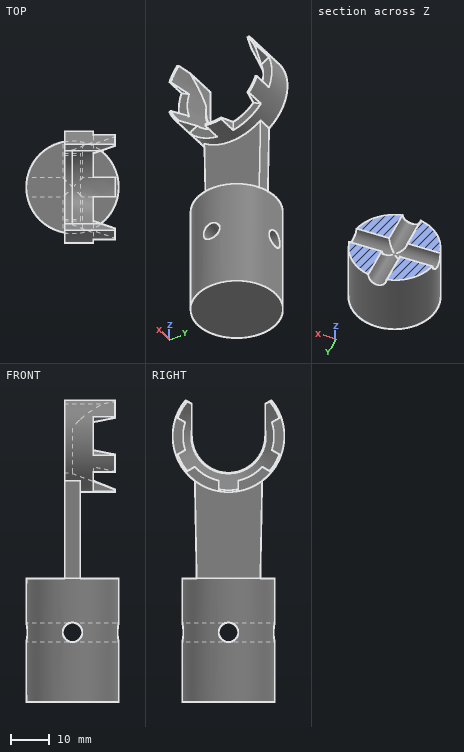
import cadquery as cq
import math

total_height = 78.1
base_diameter = 24.0
base_height = 32.0
pin_diameter = 5.0
pin_height = 18.05

neck_thickness = 4.1
neck_bottom_width = 16.55
neck_top_width = 17.5

cradle_outer_radius = 29.0 / 2
cradle_inner_radius = 9.45
cradle_back = -neck_thickness / 2
ring_front = 5.4
prong_front = 11.0
cone_back = 0.0
cone_back_radius = 9.7
cone_front_radius = 14.0

prong_width = 5.0
prong_angles = (-150, -90, -30, 30, 150)
tip_prong_angle = 30

tip_angle = math.radians(tip_prong_angle) + math.asin(prong_width / 2 / cradle_outer_radius)
cradle_axis_height = total_height - cradle_outer_radius * math.sin(tip_angle)


def cradle_cylinder(radius, start, end):
    """Cylinder on the cradle axis between two X positions."""
    plane = cq.Workplane("YZ", origin=(start, 0, cradle_axis_height))
    return plane.circle(radius).extrude(end - start)


def make_base():
    return cq.Workplane("XY").circle(base_diameter / 2).extrude(base_height)


def make_pin_holes():
    """Two crossing holes through the base, along X and along Y."""
    holes = cq.Workplane("XY")
    for side in ("XZ", "YZ"):
        hole = cq.Workplane(side, origin=(0, 0, pin_height)).circle(pin_diameter / 2)
        holes = holes.add(hole.extrude(base_diameter, both=True))
    return holes.combine()


def make_neck():
    """Tapered plate whose top corners lie on the cradle's outer circle."""
    half_top = neck_top_width / 2
    half_bottom = neck_bottom_width / 2
    top = cradle_axis_height - math.sqrt(cradle_outer_radius**2 - half_top**2)
    return (
        cq.Workplane("YZ", origin=(cradle_back, 0, 0))
        .moveTo(-half_bottom, base_height)
        .lineTo(half_bottom, base_height)
        .lineTo(half_top, top)
        .lineTo(-half_top, top)
        .close()
        .extrude(neck_thickness)
    )


def make_prongs():
    """Parallel-sided radial bars trimmed to the outer cylinder."""
    bars = cq.Workplane("XY")
    length = 2 * cradle_outer_radius
    depth = prong_front - ring_front
    for angle in prong_angles:
        bar = cq.Workplane("XY").box(depth, length, prong_width, centered=(False, False, True))
        bar = bar.rotate((0, 0, 0), (1, 0, 0), angle)
        bars = bars.add(bar.translate((ring_front, 0, cradle_axis_height)))
    return cradle_cylinder(cradle_outer_radius, ring_front, prong_front).intersect(bars.combine())


def make_mouth():
    """Opening between the arms, bounded by the upper flanks of the tip prongs."""
    slope = math.radians(tip_prong_angle)
    centre_rise = prong_width / 2 / math.cos(slope)
    reach = 2 * cradle_outer_radius
    edge_rise = centre_rise + reach * math.tan(slope)
    return (
        cq.Workplane("YZ", origin=(cradle_back, 0, cradle_axis_height))
        .moveTo(0, centre_rise)
        .lineTo(reach, edge_rise)
        .lineTo(-reach, edge_rise)
        .close()
        .extrude(prong_front - cradle_back)
    )


def make_seat():
    """U-shaped opening with a straight-walled lip and a flared cone in front of it."""
    bore = cradle_cylinder(cradle_inner_radius, cradle_back, prong_front)
    slot = (
        cq.Workplane("XY", origin=(cradle_back, 0, cradle_axis_height))
        .box(prong_front - cradle_back, 2 * cradle_inner_radius, total_height, centered=(False, True, False))
    )
    cone = cq.Workplane(
        cq.Solid.makeCone(
            cone_back_radius,
            cone_front_radius,
            prong_front - cone_back,
            cq.Vector(cone_back, 0, cradle_axis_height),
            cq.Vector(1, 0, 0),
        )
    )
    return bore.union(slot).union(cone)


ring = cradle_cylinder(cradle_outer_radius, cradle_back, ring_front)
fork = make_neck().union(ring).union(make_prongs()).cut(make_mouth()).cut(make_seat())
result = make_base().cut(make_pin_holes()).union(fork)